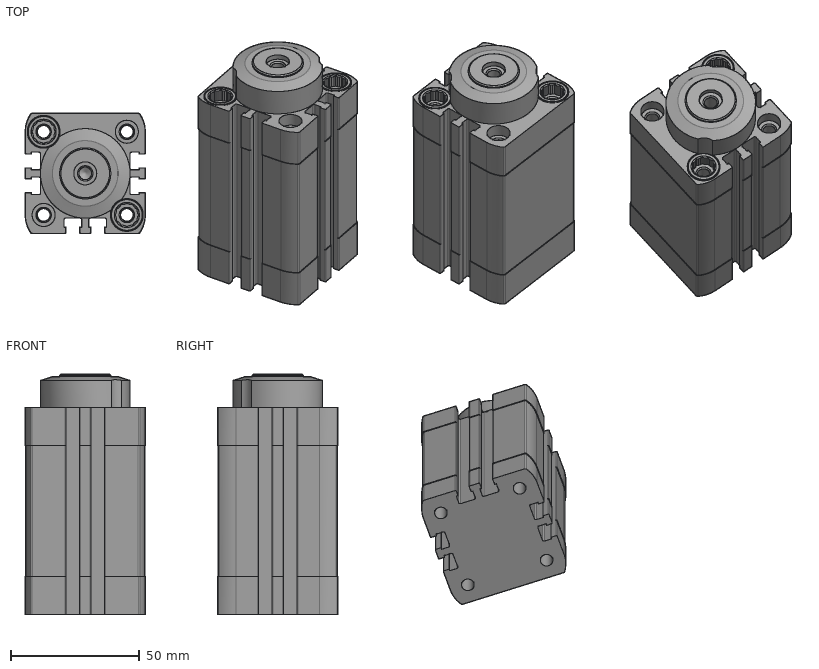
import cadquery as cq
import math

barrel_width = 47.0
barrel_height = 81.0
cap_height = 15.0
waist_inset = 0.25
corner_arc_radius = 12.5
corner_edge_fillet = 0.9
bolt_pitch = 32.5
bolt_offset = bolt_pitch / 2

slot_offset = 4.85
slot_mouth_width = 5.4
slot_inner_width = 6.8
slot_lip_depth = 2.5
slot_depth = 6.0
slot_inner_fillet = 0.6
slot_mouth_fillet = 0.3
slotted_side_angles = (0, 90, -90)

collar_diameter = 35.0
collar_flat_diameter = 25.6
collar_top = 93.0
collar_cone_height = 1.5

thread_diameter = 4.92
thread_mouth_diameter = 6.0
counterbore_diameter = 9.0
counterbore_depth = 5.0

head_diameter = 12.8
head_chamfer = 0.4
socket_mouth_diameter = 9.8
socket_mouth_angle = 120.0
socket_bore_diameter = 8.57
socket_across_flats = 8.0
socket_turn = 30

rod_diameter = 20.0
rod_top = 94.0
rod_bottom = barrel_height - cap_height
rod_chamfer = 0.5
rod_counterbore_depth = 2.0
rod_thread_depth = 12.0
drill_point_angle = 118.0

half_width = barrel_width / 2
thread_mouth_depth = (thread_mouth_diameter - thread_diameter) / 2


def disc(diameter, bottom, height, x=0, y=0):
    return cq.Workplane("XY").workplane(offset=bottom).center(x, y).circle(diameter / 2).extrude(height)


def frustum(top_diameter, bottom_diameter, top, depth, x=0, y=0):
    """Round taper below its top level; a zero bottom diameter makes a pointed cone."""
    top_center = cq.Vector(x, y, top)
    down = cq.Vector(0, 0, -1)
    return cq.Workplane(cq.Solid.makeCone(top_diameter / 2, bottom_diameter / 2, depth, top_center, down))


def barrel_section(inset, bottom, height):
    """Straight slotted length of barrel; the corner arcs keep their centres for any inset."""
    half = half_width - inset
    arc_radius = corner_arc_radius - inset
    arc_center_x = half_width - corner_arc_radius

    def arc_point(y):
        return arc_center_x + math.sqrt(arc_radius**2 - (y - bolt_offset) ** 2), y

    corner = arc_point(half)
    middle = arc_point((bolt_offset + half) / 2)
    blank = (
        cq.Workplane("XY")
        .workplane(offset=bottom)
        .moveTo(-corner[0], half)
        .lineTo(*corner)
        .threePointArc(middle, (half, bolt_offset))
        .lineTo(half, -bolt_offset)
        .threePointArc((middle[0], -middle[1]), (corner[0], -half))
        .lineTo(-corner[0], -half)
        .threePointArc((-middle[0], -middle[1]), (-half, -bolt_offset))
        .lineTo(-half, bolt_offset)
        .threePointArc((-middle[0], middle[1]), (-corner[0], half))
        .close()
        .extrude(height)
    )
    corner_edges = blank.edges("|Z").filter(lambda edge: abs(edge.Center().y) > half - corner_edge_fillet)
    section = corner_edges.fillet(corner_edge_fillet)

    for angle in slotted_side_angles:
        for side in (-1, 1):
            section = section.cut(t_slot(side * slot_offset, bottom, height, angle))
    return round_slot_mouths(section, half)


def t_slot(offset, bottom, height, angle):
    """T-slot open to the -Y side, then turned about Z to its own side."""
    chamber_width = slot_depth - slot_lip_depth
    chamber = (
        cq.Workplane("XY")
        .box(slot_inner_width, chamber_width, height, centered=(True, False, False))
        .edges("|Z and >Y")
        .fillet(slot_inner_fillet)
        .translate((offset, slot_lip_depth - half_width, bottom))
    )
    mouth = (
        cq.Workplane("XY")
        .box(slot_mouth_width, slot_lip_depth, height, centered=(True, False, False))
        .translate((offset, -half_width, bottom))
    )
    return chamber.union(mouth).rotate((0, 0, 0), (0, 0, 1), angle)


def round_slot_mouths(section, half):
    mouth_limit = slot_offset + slot_mouth_width

    def is_mouth_edge(edge):
        center = edge.Center()
        low, high = sorted((abs(center.x), abs(center.y)))
        return low < mouth_limit and abs(high - half) < slot_mouth_fillet

    return section.edges("|Z").filter(is_mouth_edge).fillet(slot_mouth_fillet)


def collar():
    body = disc(collar_diameter, barrel_height, collar_top - collar_cone_height - barrel_height)
    cone = frustum(collar_flat_diameter, collar_diameter, collar_top, collar_cone_height)
    return body.union(cone)


def thread_hole(x, y, floor):
    """Through hole with a countersunk mouth at the floor of the recess above it."""
    hole = disc(thread_diameter, 0, floor, x, y)
    return hole.union(frustum(thread_mouth_diameter, thread_diameter, floor, thread_mouth_depth, x, y))


def hexagon(x, y, turn):
    return (
        cq.Workplane("XY")
        .workplane(offset=barrel_height - counterbore_depth)
        .polygon(6, socket_across_flats, circumscribed=True)
        .extrude(counterbore_depth)
        .rotate((0, 0, 0), (0, 0, 1), turn)
        .translate((x, y, 0))
    )


def socket_recess(x, y):
    """Double-hexagon socket with a conical mouth and a bevelled groove around it."""
    bore = disc(socket_bore_diameter, barrel_height - counterbore_depth, counterbore_depth, x, y)
    socket = bore.union(hexagon(x, y, 0)).union(hexagon(x, y, socket_turn))
    mouth_step = (socket_mouth_diameter - socket_bore_diameter) / 2
    mouth_depth = mouth_step / math.tan(math.radians(socket_mouth_angle / 2))
    mouth = frustum(socket_mouth_diameter, socket_bore_diameter, barrel_height, mouth_depth, x, y)
    head = disc(head_diameter, barrel_height - head_chamfer, head_chamfer, x, y)
    bevel = frustum(head_diameter - 2 * head_chamfer, head_diameter, barrel_height, head_chamfer, x, y)
    groove = head.cut(bevel)
    collar_relief = disc(head_diameter, barrel_height, collar_top - barrel_height, x, y)
    return socket.union(mouth).union(groove).union(collar_relief)


def make_housing():
    waist_height = barrel_height - 2 * cap_height
    body = barrel_section(0, 0, cap_height)
    body = body.union(barrel_section(waist_inset, cap_height, waist_height))
    body = body.union(barrel_section(0, barrel_height - cap_height, cap_height))
    body = body.union(collar())
    recess_floor = barrel_height - counterbore_depth
    for x in (-bolt_offset, bolt_offset):
        for y in (-bolt_offset, bolt_offset):
            if x * y > 0:
                recess = disc(counterbore_diameter, recess_floor, counterbore_depth, x, y)
            else:
                recess = socket_recess(x, y)
            body = body.cut(recess).cut(thread_hole(x, y, recess_floor))
    return body.cut(disc(rod_diameter, rod_bottom, collar_top - rod_bottom))


def make_rod():
    rod = disc(rod_diameter, rod_bottom, rod_top - rod_bottom).faces(">Z").chamfer(rod_chamfer)
    floor = rod_top - rod_counterbore_depth
    thread_bottom = floor - rod_thread_depth
    point_depth = thread_diameter / 2 / math.tan(math.radians(drill_point_angle / 2))
    rod = rod.cut(disc(counterbore_diameter, floor, rod_counterbore_depth))
    rod = rod.cut(frustum(thread_mouth_diameter, thread_diameter, floor, thread_mouth_depth))
    rod = rod.cut(disc(thread_diameter, thread_bottom, rod_thread_depth))
    return rod.cut(frustum(thread_diameter, 0, thread_bottom, point_depth))


housing = make_housing()
rod = make_rod()
result = cq.Compound.makeCompound([housing.val(), rod.val()])